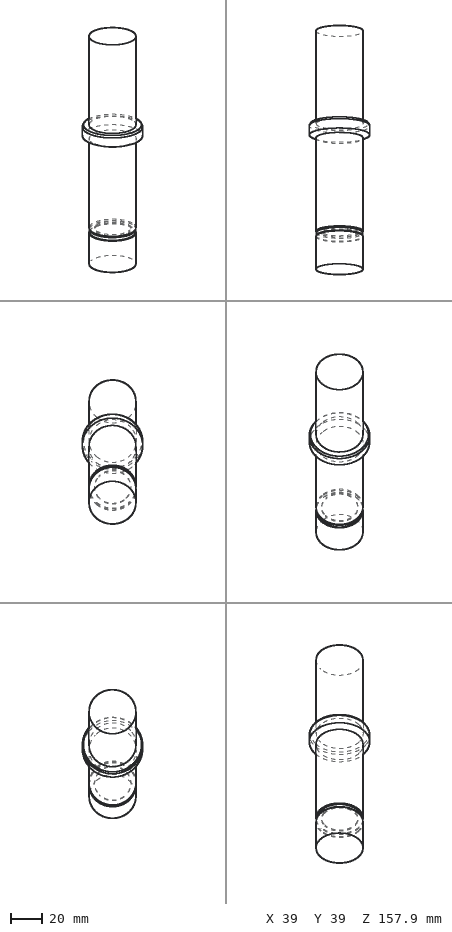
import cadquery as cq

total_length = 157.9
shaft_radius = 30.3 / 2

groove_radius = 23.4 / 2
groove_bottom = 24.2
groove_top = 25.1

land_radius = 30.0 / 2
step_bottom = 21.8
step_top = 22.3

collar_radius = 39.0 / 2
collar_bottom = 87.0
rim_bottom = 88.9
collar_top = 96.5
chamfer_width = 0.8
chamfer_height = 1.5

lower_end = [
    (0, 0),
    (shaft_radius, 0),
    (shaft_radius, step_bottom),
    (land_radius, step_top),
    (land_radius, groove_bottom),
]
groove = [
    (groove_radius, groove_bottom),
    (groove_radius, groove_top),
    (shaft_radius, groove_top),
]
collar = [
    (shaft_radius, collar_bottom),
    (collar_radius, rim_bottom),
    (collar_radius, collar_top - chamfer_height),
    (collar_radius - chamfer_width, collar_top),
    (shaft_radius, collar_top),
]
upper_end = [
    (shaft_radius, total_length),
    (0, total_length),
]

result = (
    cq.Workplane("XZ")
    .polyline(lower_end + groove + collar + upper_end)
    .close()
    .revolve(360, (0, 0, 0), (0, 1, 0))
)